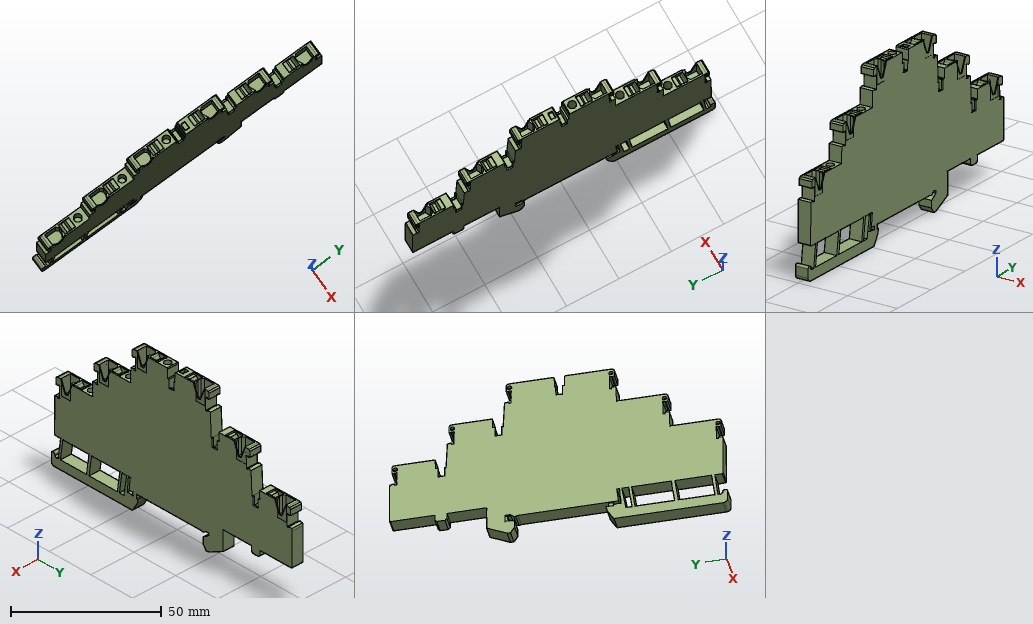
import cadquery as cq

THICKNESS = 5.1
SIDE = THICKNESS / 2
HALF_LENGTH = 57.8

TOP_Z = 64.1
LEVEL_STEP = 14.0
LEVEL_TOPS = [TOP_Z - LEVEL_STEP * drop for drop in (2, 1, 0)]
LEFT_TIP = 57.0
LEFT_PITCH = 19.5
RIGHT_TIP = -55.6
RIGHT_PITCH = 18.3
LEFT_TIPS = [LEFT_TIP - LEFT_PITCH * i for i in range(3)]
RIGHT_TIPS = [RIGHT_TIP + RIGHT_PITCH * i for i in range(3)]

TOWER_WIDTH = 14.9
GAP_STEP_DEPTH = 3.9
GAP_STEP = 0.8
GAP_DEPTH = 7.4
GAP_FLOOR = 2.3
GAP_FAR_STEP = 0.5
CENTRE_GAP_LEFT = 1.5
CENTRE_GAP_RIGHT = -2.0
CENTRE_FLOOR_LEFT = 0.7
CENTRE_FLOOR_RIGHT = -1.3
CENTRE_GAP_DEPTH = 7.6
GAP_RECESS_DEPTH = 0.6

EDGE_BEVEL = 0.3
END_WALL_DROP = 8.8
BODY_BOTTOM = 12.5
RAIL_Z = 7.3
TIE_Z = 5.5
TIE_LEFT = -16.9
TIE_RIGHT = -18.7
BAR_TOP = 4.0
HOOK_TOP = 5.5
HOOK_INNER = -56.2
HOOK_RADIUS = 0.75
HEEL_RADIUS = 1.5

OPENING_WIDTH = 3.8
OPENING_HALF_WIDTH = OPENING_WIDTH / 2
WIRE_OFFSET = 2.3
WIRE_LENGTH = 5.3
WIRE_DEPTH = 6.9
WIRE_WALL = 0.3
WIRE_CORNER = 0.9
BREACH_BOTTOM = 1.2
BREACH_DEPTH = 5.2
SLOT_OFFSET = 7.9
SLOT_LENGTH = 4.3
SLOT_LEDGE = 0.7
SLOT_DEPTH = 1.8
TEST_HOLE_OFFSET = 14.6
TEST_HOLE_DIAMETER = 2.9
TEST_HOLE_DEPTH = 6.9
KEY_HALF_WIDTH = 1.3
KEY_WALL = 0.9
KEY_LENGTH = 1.6
KEY_DEPTH = 1.2

DIMPLE_RADIUS = 0.7
DIMPLE_INSET = 1.2
DIMPLE_DROP = 1.7
DIMPLE_DEPTH = 1.2
RECESS_DEPTH = 0.6


def prism(points, x_start=-SIDE, x_end=SIDE):
    """Extrude a closed YZ outline between two X positions."""
    return cq.Workplane("YZ").workplane(offset=x_start).polyline(points).close().extrude(x_end - x_start)


def block(x_range, y_range, z_range):
    """Box given by its limits, each pair in any order."""
    (x0, x1), (y0, y1), (z0, z1) = (sorted(pair) for pair in (x_range, y_range, z_range))
    return cq.Workplane("XY").box(x1 - x0, y1 - y0, z1 - z0, centered=False).translate((x0, y0, z0))


def hook_edge(tip, top, inward):
    """Outer edge of one tower, from its top corner down to the shoulder below the neck."""
    local = [
        (1.3, 0), (0.5, -0.1), (0, -0.7), (0, -3.1), (0.7, -3.4), (1.0, -3.1), (1.7, -3.1),
        (1.6, -8.2), (1.0, -8.3), (0.8, -7.7), (-0.6, -8.0),
    ]
    return [(tip + inward * u, top + z) for u, z in local]


def left_gap(index):
    """Stepped gap between a +Y tower and the next higher one, in walking order."""
    top = LEVEL_TOPS[index]
    near = LEFT_TIPS[index] - TOWER_WIDTH
    floor_near = near - GAP_STEP
    floor_far = floor_near - GAP_FLOOR
    step_z = top - GAP_STEP_DEPTH
    floor_z = top - GAP_DEPTH
    return [
        (near + 0.1, top), (near, step_z + EDGE_BEVEL), (floor_near, step_z), (floor_near, floor_z),
        (floor_far, floor_z), (floor_far, step_z), (floor_far - GAP_FAR_STEP, step_z),
    ]


def housing():
    """Stepped main body with the fixed rail hook and the locating peg underneath."""
    step_z = TOP_Z - GAP_STEP_DEPTH - 0.1
    floor_z = TOP_Z - CENTRE_GAP_DEPTH
    outline = [
        (HALF_LENGTH - EDGE_BEVEL, BODY_BOTTOM), (HALF_LENGTH, BODY_BOTTOM + EDGE_BEVEL),
        (HALF_LENGTH, LEVEL_TOPS[0] - END_WALL_DROP),
    ]
    for i in range(3):
        outline += reversed(hook_edge(LEFT_TIPS[i], LEVEL_TOPS[i], -1))
        if i < 2:
            outline += left_gap(i)
    outline += [
        (CENTRE_GAP_LEFT + EDGE_BEVEL, TOP_Z), (CENTRE_GAP_LEFT, TOP_Z - EDGE_BEVEL),
        (CENTRE_GAP_LEFT - 0.1, step_z), (CENTRE_FLOOR_LEFT + 0.3, step_z),
        (CENTRE_FLOOR_LEFT + 0.2, floor_z + 0.2), (CENTRE_FLOOR_LEFT, floor_z),
        (CENTRE_FLOOR_RIGHT, floor_z), (CENTRE_FLOOR_RIGHT, step_z), (CENTRE_GAP_RIGHT, step_z),
        (CENTRE_GAP_RIGHT, TOP_Z - EDGE_BEVEL), (CENTRE_GAP_RIGHT - EDGE_BEVEL, TOP_Z),
    ]
    for i in (2, 1, 0):
        edge = hook_edge(RIGHT_TIPS[i], LEVEL_TOPS[i], 1)
        outline += edge
        if i > 0:
            outline.append((edge[-1][0] - 0.1, LEVEL_TOPS[i - 1]))
    outline += [
        (-56.3, BODY_BOTTOM + EDGE_BEVEL), (-55.9, BODY_BOTTOM),
        (-19.9, BODY_BOTTOM), (-20.5, RAIL_Z),
        (13.9, RAIL_Z), (14.7, 7.0), (15.4, 7.2), (16.4, 8.0), (17.6, 7.9),
        (17.6, 6.9), (16.6, 6.1), (15.0, 5.2), (15.0, 2.4), (16.4, 0.3), (17.6, 0.3), (24.6, 3.8),
        (24.6, BODY_BOTTOM),
        (38.1, BODY_BOTTOM), (38.1, 10.4), (38.8, 9.7), (41.6, 9.7), (42.3, 10.4), (42.3, BODY_BOTTOM),
    ]
    return prism(outline)


def round_corner(bar, y, z, radius):
    """Round the corner edge of the bar that runs along X at (y, z)."""
    reach = 0.1
    corner = cq.selectors.BoxSelector(
        (-reach, y - reach, z - reach), (reach, y + reach, z + reach),
    )
    return bar.edges(corner).fillet(radius)


def foot():
    """Flexible foot bar with its release hook, tied to the housing by slanted struts."""
    bar = prism([
        (-19.0, 0), (-18.4, 0.7), (-16.5, 3.9), (-16.2, TIE_Z), (TIE_LEFT, TIE_Z), (TIE_LEFT, RAIL_Z),
        (TIE_RIGHT, RAIL_Z), (TIE_RIGHT, 5.8), (-19.2, 6.1), (-21.5, 6.1), (-22.0, BAR_TOP), (-54.4, BAR_TOP),
        (-55.3, 3.8), (-56.0, 4.4), (HOOK_INNER, HOOK_TOP),
        (-HALF_LENGTH, HOOK_TOP), (-HALF_LENGTH, 0),
    ])
    bar = round_corner(bar, -HALF_LENGTH, 0, HEEL_RADIUS)
    bar = round_corner(bar, -HALF_LENGTH, HOOK_TOP, HOOK_RADIUS)
    bar = round_corner(bar, HOOK_INNER, HOOK_TOP, HOOK_RADIUS)
    struts = [
        (-20.8, -21.6, -21.5, -23.0),
        (-23.9, -25.0, -25.1, -26.1),
        (-38.5, -39.7, -39.6, -40.9),
        (-52.2, -53.4, -53.4, -54.4),
    ]
    for top_a, top_b, foot_a, foot_b in struts:
        strut = prism([(top_a, BODY_BOTTOM), (top_b, BODY_BOTTOM), (foot_b, BAR_TOP), (foot_a, BAR_TOP)])
        bar = bar.union(strut)
    return bar


def terminal_openings(tip, top, inward):
    """Wire entry breaking through the +X face, and the stepped actuation slot beside it."""
    def along(distance):
        return tip + inward * distance

    wire_x = SIDE - WIRE_WALL
    wire_start = WIRE_OFFSET
    wire_end = WIRE_OFFSET + WIRE_LENGTH
    plan = [
        (-OPENING_HALF_WIDTH, along(wire_start)), (wire_x, along(wire_start)),
        (wire_x, along(wire_end - WIRE_CORNER)), (wire_x - 2 * WIRE_CORNER, along(wire_end)),
        (-OPENING_HALF_WIDTH + WIRE_CORNER, along(wire_end)),
        (-OPENING_HALF_WIDTH, along(wire_end - WIRE_CORNER)),
    ]
    wire = cq.Workplane("XY").workplane(offset=top - WIRE_DEPTH).polyline(plan).close().extrude(WIRE_DEPTH)

    middle = wire_start + WIRE_LENGTH / 2
    breach = prism([
        (along(wire_start), top), (along(wire_end), top),
        (along(middle + BREACH_BOTTOM / 2), top - BREACH_DEPTH),
        (along(middle - BREACH_BOTTOM / 2), top - BREACH_DEPTH),
    ], wire_x, SIDE)

    slot_profile = [
        (0, 0), (0.5, -SLOT_LEDGE), (1.2, -SLOT_DEPTH), (2.2, -SLOT_DEPTH),
        (2.9, -SLOT_LEDGE), (SLOT_LENGTH, -SLOT_LEDGE), (SLOT_LENGTH, 0),
    ]
    slot = prism(
        [(along(SLOT_OFFSET + u), top + z) for u, z in slot_profile],
        -OPENING_HALF_WIDTH, OPENING_HALF_WIDTH,
    )
    return [wire, breach, slot]


def dimple(tip, top, inward):
    """Small blind hole in the hook, sunk into the -X face."""
    centre = (tip + inward * DIMPLE_INSET, top - DIMPLE_DROP)
    face = cq.Workplane("YZ").workplane(offset=-SIDE)
    return face.center(*centre).circle(DIMPLE_RADIUS).extrude(DIMPLE_DEPTH)


def test_hole(tip, top):
    """Round blind test socket in a -Y tower."""
    plane = cq.Workplane("XY").workplane(offset=top - TEST_HOLE_DEPTH)
    return plane.center(0, tip + TEST_HOLE_OFFSET).circle(TEST_HOLE_DIAMETER / 2).extrude(TEST_HOLE_DEPTH)


def gap_recesses():
    """Middle channel in the bottom of every gap, leaving thin side walls."""
    width = (-OPENING_HALF_WIDTH, OPENING_HALF_WIDTH)
    channels = []
    for tip, top in zip(LEFT_TIPS[:2], LEVEL_TOPS[:2]):
        near = tip - TOWER_WIDTH
        far = near - GAP_STEP - GAP_FLOOR - GAP_FAR_STEP
        height = (top - GAP_DEPTH - GAP_RECESS_DEPTH, top - GAP_STEP_DEPTH)
        channels.append(block(width, (near, far), height))
    centre_span = (CENTRE_FLOOR_LEFT, CENTRE_FLOOR_RIGHT)
    centre_floor = TOP_Z - CENTRE_GAP_DEPTH
    channels.append(block(width, centre_span, (centre_floor - GAP_RECESS_DEPTH, centre_floor)))
    return channels


def key_pocket():
    """Square pocket in the top level, just inside the central gap."""
    key_start = CENTRE_GAP_LEFT + KEY_WALL
    return block(
        (-KEY_HALF_WIDTH, KEY_HALF_WIDTH),
        (key_start, key_start + KEY_LENGTH),
        (TOP_Z - KEY_DEPTH, TOP_Z),
    )


def face_recess(points):
    """Shallow step sunk into the -X face."""
    return prism(points, -SIDE, -SIDE + RECESS_DEPTH)


def tie_recess():
    """Shallow step in the -X face where the foot joins the housing."""
    return face_recess([(TIE_LEFT, TIE_Z), (TIE_LEFT, RAIL_Z), (TIE_RIGHT, RAIL_Z), (TIE_RIGHT, TIE_Z)])


def rail_recess():
    """Shallow step in the -X face around the rail-hook notch."""
    return face_recess([(18.4, 8.1), (16.4, 8.1), (15.1, 5.4), (18.4, 5.5)])


cutters = gap_recesses() + [key_pocket(), rail_recess(), tie_recess()]
for left, right, level in zip(LEFT_TIPS, RIGHT_TIPS, LEVEL_TOPS):
    for end, toward_middle in ((left, -1), (right, 1)):
        cutters += terminal_openings(end, level, toward_middle)
        cutters.append(dimple(end, level, toward_middle))
    cutters.append(test_hole(right, level))

result = housing().union(foot())
for cutter in cutters:
    result = result.cut(cutter)